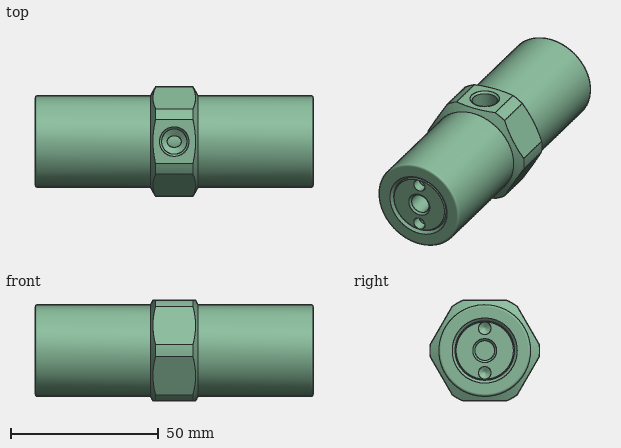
import cadquery as cq
import math

LENGTH = 94.0
BODY_RADIUS = 31.0 / 2
END_ROUNDING = 0.75

COLLAR_WIDTH = 16.2
ACROSS_FLATS = 34.0
CORNER_RADIUS = 37.1 / 2
COLLAR_CHAMFER_ANGLE = 30.0

MOUTH_RADIUS = 11.0
PLUG_RADIUS = 10.1
PLUG_CHAMFER = 0.4
MOUTH_DEPTH = MOUTH_RADIUS - PLUG_RADIUS
PLUG_RECESS = MOUTH_DEPTH - PLUG_CHAMFER

PORT_RADIUS = 6.7 / 2
PORT_MOUTH_RADIUS = 8.1 / 2
PORT_DEPTH = 11.3

SPANNER_RADIUS = 4.2 / 2
SPANNER_OFFSET = 7.5
SPANNER_DEPTH = 3.8

INLET_RADIUS = 8.6 / 2
INLET_MOUTH_RADIUS = 10.0 / 2
INLET_STRAIGHT_DEPTH = 8.4
CORE_RADIUS = 7.5

DRILL_POINT_ANGLE = 118.0


def drill_point_height(radius):
    return radius / math.tan(math.radians(DRILL_POINT_ANGLE / 2))


def turned_about_x(profile):
    """Solid of revolution about X from (x, radius) points."""
    return cq.Workplane("XY").polyline(profile).close().revolve(360, (0, 0, 0), (1, 0, 0))


def drill_along_x(radius, depth):
    """Pointed drill entering the plug face on the X axis."""
    tip = depth + drill_point_height(radius)
    profile = [(0, 0), (0, radius), (depth, radius), (tip, 0)]
    return turned_about_x(profile)


def body():
    barrel = cq.Workplane("YZ").circle(BODY_RADIUS).extrude(LENGTH)
    return barrel.faces("<X or >X").edges().fillet(END_ROUNDING)


def collar():
    start = (LENGTH - COLLAR_WIDTH) / 2
    end = start + COLLAR_WIDTH
    rise = CORNER_RADIUS - BODY_RADIUS
    chamfer = rise * math.tan(math.radians(COLLAR_CHAMFER_ANGLE))
    across_corners = ACROSS_FLATS / math.cos(math.pi / 6)
    hexagon = cq.Workplane("YZ").workplane(offset=start).polygon(6, across_corners).extrude(COLLAR_WIDTH)
    envelope = turned_about_x([
        (start, 0),
        (start, BODY_RADIUS),
        (start + chamfer, CORNER_RADIUS),
        (end - chamfer, CORNER_RADIUS),
        (end, BODY_RADIUS),
        (end, 0),
    ])
    return hexagon.intersect(envelope)


def plug_recess():
    """Space in front of the plug: the 45-degree mouth and plug rim chamfer meet in a V."""
    return turned_about_x([
        (0, 0),
        (0, MOUTH_RADIUS),
        (MOUTH_DEPTH, PLUG_RADIUS),
        (PLUG_RECESS, PLUG_RADIUS - PLUG_CHAMFER),
        (PLUG_RECESS, 0),
    ])


def plug_port():
    mouth_depth = PORT_MOUTH_RADIUS - PORT_RADIUS
    port = turned_about_x([
        (0, 0),
        (0, PORT_MOUTH_RADIUS),
        (mouth_depth, PORT_RADIUS),
        (PORT_DEPTH, PORT_RADIUS),
        (PORT_DEPTH, 0),
    ])
    return port.translate((PLUG_RECESS, 0, 0))


def end_cut():
    """Everything cut away around the plug at X = 0."""
    cutter = plug_recess().union(plug_port())
    for side in (-1, 1):
        spanner_hole = drill_along_x(SPANNER_RADIUS, SPANNER_DEPTH)
        cutter = cutter.union(spanner_hole.translate((PLUG_RECESS, 0, side * SPANNER_OFFSET)))
    return cutter


def inlet():
    """Pointed, chamfered hole from the top flat, stopped by the core."""
    top = ACROSS_FLATS / 2
    shoulder = top - INLET_STRAIGHT_DEPTH
    hole = (
        cq.Workplane("XZ")
        .moveTo(0, top)
        .lineTo(INLET_MOUTH_RADIUS, top)
        .lineTo(INLET_RADIUS, top - (INLET_MOUTH_RADIUS - INLET_RADIUS))
        .lineTo(INLET_RADIUS, shoulder)
        .lineTo(0, shoulder - drill_point_height(INLET_RADIUS))
        .close()
        .revolve(360, (0, 0, 0), (0, 1, 0))
        .translate((LENGTH / 2, 0, 0))
    )
    core = cq.Workplane("YZ").circle(CORE_RADIUS).extrude(LENGTH)
    return hole.cut(core)


near_end = end_cut()
far_end = near_end.mirror("YZ").translate((LENGTH, 0, 0))
result = body().union(collar()).cut(near_end).cut(far_end).cut(inlet())